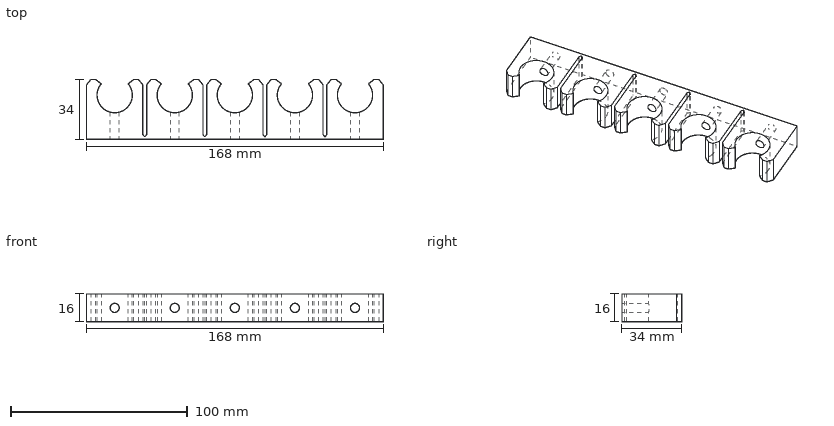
import cadquery as cq
import math

length = 168.0
depth = 34.0
height = 16.0

clip_count = 5
slot_width = 2.0
slot_floor = 1.5
slot_point_depth = 1.2
pitch = (length + slot_width) / clip_count
clip_width = pitch - slot_width
clip_centers = [(i - (clip_count - 1) / 2) * pitch for i in range(clip_count)]

seat_radius = 9.9
seat_y = 25.0
mouth_half_width = 7.5
lip_y = seat_y + math.sqrt(seat_radius**2 - mouth_half_width**2)

shoulder_y = 30.9
tip_flat = 2.7
outer_bevel = 2.5
tip_outer_x = clip_width / 2 - outer_bevel
tip_inner_x = tip_outer_x - tip_flat

hole_diameter = 5.0
hole_z = height / 2


def make_clip(center_x):
    """One clip: a block with two beveled jaws around a seat."""
    half_width = clip_width / 2
    return (
        cq.Workplane("XY")
        .center(center_x, 0)
        .moveTo(-half_width, 0)
        .lineTo(half_width, 0)
        .lineTo(half_width, shoulder_y)
        .lineTo(tip_outer_x, depth)
        .lineTo(tip_inner_x, depth)
        .lineTo(mouth_half_width, lip_y)
        .threePointArc((0, seat_y - seat_radius), (-mouth_half_width, lip_y))
        .lineTo(-tip_inner_x, depth)
        .lineTo(-tip_outer_x, depth)
        .lineTo(-half_width, shoulder_y)
        .close()
        .extrude(height)
    )


def make_bridge(center_x):
    """Thin web joining two clips, with the V-shaped slot bottom."""
    half_width = slot_width / 2
    slot_straight_y = slot_floor + slot_point_depth
    return (
        cq.Workplane("XY")
        .center(center_x, 0)
        .moveTo(-half_width, 0)
        .lineTo(half_width, 0)
        .lineTo(half_width, slot_straight_y)
        .lineTo(0, slot_floor)
        .lineTo(-half_width, slot_straight_y)
        .close()
        .extrude(height)
    )


result = make_clip(clip_centers[0])
for center_x in clip_centers[1:]:
    result = result.union(make_bridge(center_x - pitch / 2))
    result = result.union(make_clip(center_x))

holes = (
    cq.Workplane("XZ")
    .pushPoints([(x, hole_z) for x in clip_centers])
    .circle(hole_diameter / 2)
    .extrude(-seat_y)
)
result = result.cut(holes)